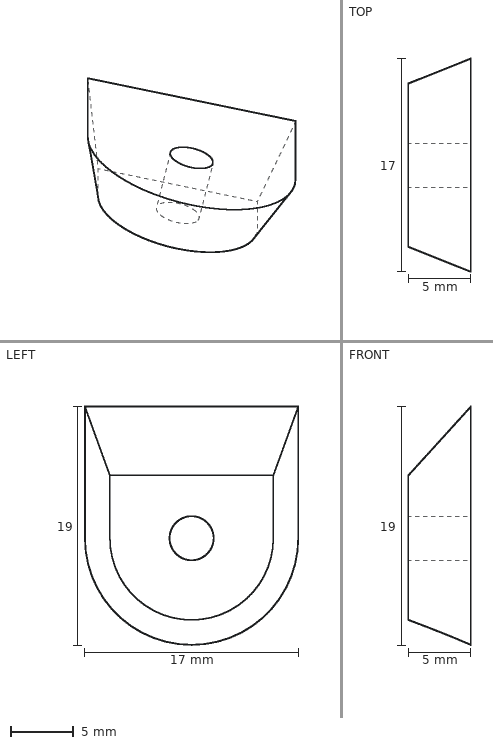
import cadquery as cq

thickness = 5.0
height = 19.0
back_width = 17.0
side_inset = 2.0
front_top = 5.0
hole_diameter = 3.5

back_radius = back_width / 2
back_top = height - back_radius
front_radius = back_radius - side_inset


def add_outline(plane, radius, top):
    """Draw a rectangle that ends in a half circle below the hole axis."""
    return (
        plane.moveTo(-radius, top)
        .lineTo(-radius, 0)
        .threePointArc((0, -radius), (radius, 0))
        .lineTo(radius, top)
        .close()
    )


front_outline = add_outline(cq.Workplane("YZ"), front_radius, front_top)
back_plane = front_outline.workplane(offset=thickness)
body = add_outline(back_plane, back_radius, back_top).loft(ruled=True, combine=True)

hole = cq.Workplane("YZ").circle(hole_diameter / 2).extrude(thickness)

result = body.cut(hole)